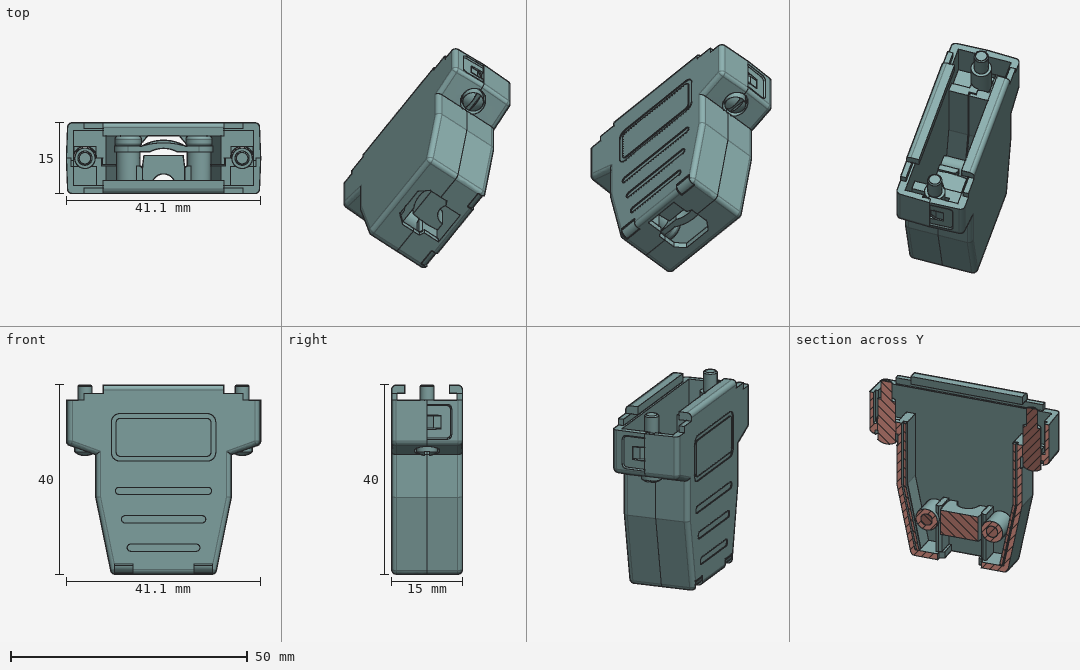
import cadquery as cq

DEPTH = 15.0
HALF_DEPTH = DEPTH / 2
HEAD_HALF_WIDTH = 20.55
HEAD_DRAFT = 0.3
NECK_HALF_WIDTH = 14.35
FOOT_HALF_WIDTH = 11.0
RIM_Z = 36.83
HEAD_BOTTOM_Z = 27.45
SHOULDER_Z = 25.28
TAPER_Z = 16.28
EDGE_RADIUS = 1.03

HEAD_WALL = 1.55
NECK_WALL = 2.18
FACE_WALL = 1.7
FLOOR_Z = 30.82
BOTTOM_WALL = 1.5
HEAD_INNER = HEAD_HALF_WIDTH - HEAD_WALL
NECK_INNER = NECK_HALF_WIDTH - NECK_WALL
CAVITY_Y = HALF_DEPTH - FACE_WALL
TAPER_SLOPE = (NECK_HALF_WIDTH - FOOT_HALF_WIDTH) / TAPER_Z
FOOT_INNER = NECK_INNER - TAPER_SLOPE * (TAPER_Z - BOTTOM_WALL)

STEP_HALF_WIDTH = 16.8
STEP_THICKNESS = 1.2
STEP_TOP_Z = 38.22
LIP_HALF_WIDTH = 12.75
LIP_THICKNESS = 2.8
TOP_Z = 40.0

TONGUE_WIDTH = 0.7
TONGUE_HEIGHT = 1.35
TONGUE_CLEARANCE = 0.25
SIDE_NOTCH_WIDTH = 0.58
SIDE_NOTCH_DEPTH = 1.8
SIDE_NOTCH_FLOOR_Z = 29.6
SIDE_LIP_DEPTH = 0.55

JACK_X = 16.6
JACK_PIN_DIAMETER = 3.0
JACK_PIN_RADIUS = JACK_PIN_DIAMETER / 2
JACK_PIN_CHAMFER = 0.3
JACK_COLLAR_RADIUS = 2.18
JACK_COLLAR_TOP_Z = 35.55
JACK_HEAD_EDGE_Z = 25.85
JACK_DOME_HEIGHT = 0.82
JACK_SLOT_WIDTH = 1.0
JACK_SLOT_DEPTH = 0.9
SEAT_CLEARANCE_RADIUS = 2.45
SEAT_MOUTH_RADIUS = 2.67
SEAT_MOUTH_TOP_Z = 27.95
SEAT_RECESS_HALF_WIDTH = 2.35
SEAT_RECESS_FLOOR_Z = 29.6
POCKET_INNER_X = 14.2
POCKET_FLOOR_Z = 29.2

LABEL_WIDTH = 22.07
LABEL_HEIGHT = 10.05
LABEL_Z = 28.95
LABEL_GROOVE_WIDTH = 1.03
LABEL_CORNER_RADIUS = 1.85
FACE_GROOVE_DEPTH = 0.25
GRIP_COUNT = 3
GRIP_TOP_Z = 17.65
GRIP_PITCH = 6.0
GRIP_LENGTH = 20.3
GRIP_SHORTENING = 2.45
GRIP_HEIGHT = 1.52

NOTCH_INNER_X = 6.45
NOTCH_OUTER_X = 10.3
NOTCH_TOP_Z = 2.2
NOTCH_TOP_DEPTH = 0.33
NOTCH_CREST_Z = 1.9
NOTCH_CREST_DEPTH = 0.05
NOTCH_ROLL_RADIUS = 1.55

PAD_DEPTH_Y = 5.2
PAD_Z = 32.22
PAD_HEIGHT = 7.4
PAD_RECESS = 0.33
PAD_BEVEL = 0.3
PAD_CORNER_RADIUS = 1.03
WINDOW_DEPTH_Y = 2.95
WINDOW_RAMP_Y = 1.3
WINDOW_Z = 32.15
WINDOW_HEIGHT = 3.05
WINDOW_SHALLOW = 0.6
WINDOW_DEEP = 1.25
WINDOW_BEVEL = 0.25

CLAMP_Z = 9.05
CLAMP_SCREW_X = 7.5
POST_RADIUS = 2.5
POST_TOP_Y = 1.3
BAR_THICKNESS = 1.25
BAR_END_RADIUS = 2.9
BAR_INNER_ARCH_HALF = 2.9
BAR_INNER_ARCH_Y = 2.05
BAR_OUTER_ARCH_HALF = 4.65
BAR_OUTER_ARCH_Y = 3.25
BAR_RIDGE_Y = 3.82
BAR_RIDGE_WIDTH = 1.03
BAR_TOP_Y = POST_TOP_Y + BAR_THICKNESS
SCREW_HEAD_RADIUS = 2.8
SCREW_HEAD_HEIGHT = 2.15
SCREW_HEAD_TOP_FILLET = 0.7
SCREW_HEAD_BOTTOM_FILLET = 0.5
SCREW_SHANK_RADIUS = 1.25
SCREW_SHANK_LENGTH = 6.15
INSERT_TOP_HALF = 4.15
INSERT_FOOT_HALF = 4.27
INSERT_BULGE_HALF = 4.5
INSERT_BULGE_Y = -2.55
INSERT_TOP_Y = 0.6
INSERT_ARCH_RADIUS = 2.45
INSERT_DEPTH = 5.85
RIB_THICKNESS = 1.27
RIB_TOP_Y = -1.6
RIB_TOP_Z = 12.35
RIB_CHAMFER_X = 0.6
RIB_CHAMFER_Y = 0.5

EXIT_HALF_WIDTH = 4.97
EXIT_REAR_Y = 4.75
EXIT_REAR_HALF = 3.3
EXIT_REAR_SHOULDER_Y = 2.75
EXIT_FRONT_HALF = 3.9

SIDES = (-1, 1)


def box(x_range, y_range, z_range):
    """Box between two coordinates on each axis, given in either order."""
    x0, x1 = sorted(x_range)
    y0, y1 = sorted(y_range)
    z0, z1 = sorted(z_range)
    return cq.Workplane("XY").box(x1 - x0, y1 - y0, z1 - z0, centered=False).translate((x0, y0, z0))


def extrude_y(profile, y_from, y_to):
    """Extrude a profile drawn in (X, Z) between two Y positions."""
    return profile.extrude(y_from - y_to).translate((0, y_from, 0))


def both_sides(solid):
    """Join a solid on the +X side with its mirror image."""
    return solid.union(solid.mirror("YZ"))


def upright_cylinder(radius, x, z_from, z_to):
    return cq.Workplane("XY").center(x, 0).circle(radius).extrude(z_to - z_from).translate((0, 0, z_from))


def hood_outline(head_half_width):
    right = [
        (FOOT_HALF_WIDTH, 0),
        (NECK_HALF_WIDTH, TAPER_Z),
        (NECK_HALF_WIDTH, SHOULDER_Z),
        (head_half_width, HEAD_BOTTOM_Z),
        (head_half_width, RIM_Z),
    ]
    return right + [(-x, z) for x, z in reversed(right)]


def shell_blank(side):
    """Solid half hood with rounded corners and outer edges; side is the sign of its outer Y."""
    blank = (
        cq.Workplane("XZ")
        .polyline(hood_outline(HEAD_HALF_WIDTH))
        .close()
        .workplane(offset=HALF_DEPTH)
        .polyline(hood_outline(HEAD_HALF_WIDTH - HEAD_DRAFT))
        .close()
        .loft(ruled=True)
    )
    for x, z in ((HEAD_HALF_WIDTH, HEAD_BOTTOM_Z), (FOOT_HALF_WIDTH, 0)):
        corners = cq.selectors.BoxSelector((x - 0.4, -HALF_DEPTH, z - 0.4), (x + 0.4, 0, z + 0.4))
        blank = blank.edges(corners).fillet(EDGE_RADIUS)
        blank = blank.mirror("YZ").edges(corners).fillet(EDGE_RADIUS)
    top_edge = cq.selectors.BoxSelector(
        (-HEAD_HALF_WIDTH, -HALF_DEPTH - 0.4, RIM_Z - 0.4),
        (HEAD_HALF_WIDTH, -HALF_DEPTH + 0.4, RIM_Z + 0.4),
    )
    face_edges = cq.selectors.StringSyntaxSelector("<Y")
    blank = blank.edges(face_edges - top_edge).fillet(EDGE_RADIUS)
    return blank if side < 0 else blank.mirror("XZ")


def shell_cavity(side):
    head = box((-HEAD_INNER, HEAD_INNER), (0, side * CAVITY_Y), (FLOOR_Z, TOP_Z))
    right = [(FOOT_INNER, BOTTOM_WALL), (NECK_INNER, TAPER_Z), (NECK_INNER, FLOOR_Z)]
    outline = right + [(-x, z) for x, z in reversed(right)]
    neck = extrude_y(cq.Workplane("XZ").polyline(outline).close(), 0, side * CAVITY_Y)
    return head.union(neck)


def rim_lips(side):
    outer = side * HALF_DEPTH
    step_inner = side * (HALF_DEPTH - STEP_THICKNESS)
    lip_inner = side * (HALF_DEPTH - LIP_THICKNESS)
    step = box((-STEP_HALF_WIDTH, STEP_HALF_WIDTH), (outer, step_inner), (RIM_Z, STEP_TOP_Z))
    lip = box((-LIP_HALF_WIDTH, LIP_HALF_WIDTH), (outer, lip_inner), (STEP_TOP_Z, TOP_Z))
    lip = lip.faces(">Y" if side > 0 else "<Y").edges(">Z").fillet(EDGE_RADIUS)
    return step.union(lip)


def neck_strip(width, height):
    """Strip along each inner neck wall, reaching from the parting plane into the front shell."""
    inner = [(NECK_INNER, FLOOR_Z), (NECK_INNER, TAPER_Z), (FOOT_INNER, BOTTOM_WALL)]
    outline = inner + [(x + width, z) for x, z in reversed(inner)]
    return both_sides(extrude_y(cq.Workplane("XZ").polyline(outline).close(), 0, -height))


def head_side_strip(depth):
    """Strip along each inner head wall, reaching from the parting plane into the front shell."""
    strip = box((HEAD_INNER, HEAD_INNER + SIDE_NOTCH_WIDTH), (0, -depth), (SIDE_NOTCH_FLOOR_Z, RIM_Z))
    return both_sides(strip)


def jack_holes(upper_radius):
    """Hole through each shoulder with a wider mouth for the screw head."""
    hole = upright_cylinder(upper_radius, JACK_X, SHOULDER_Z, FLOOR_Z)
    mouth = upright_cylinder(SEAT_MOUTH_RADIUS, JACK_X, SHOULDER_Z, SEAT_MOUTH_TOP_Z)
    return both_sides(hole.union(mouth))


def cable_exit():
    right = [
        (EXIT_REAR_HALF, EXIT_REAR_Y),
        (EXIT_HALF_WIDTH, EXIT_REAR_SHOULDER_Y),
        (EXIT_HALF_WIDTH, RIB_TOP_Y),
        (EXIT_FRONT_HALF, RIB_TOP_Y - RIB_CHAMFER_Y),
        (EXIT_FRONT_HALF, -CAVITY_Y),
    ]
    outline = right + [(-x, y) for x, y in reversed(right)]
    return cq.Workplane("XY").polyline(outline).close().extrude(BOTTOM_WALL)


def basic_shell(side):
    return shell_blank(side).cut(shell_cavity(side)).union(rim_lips(side)).cut(cable_exit())


def label_groove():
    outer = cq.Workplane("XZ").rect(LABEL_WIDTH, LABEL_HEIGHT).extrude(FACE_GROOVE_DEPTH)
    outer = outer.edges("|Y").fillet(LABEL_CORNER_RADIUS)
    pad_size = (LABEL_WIDTH - 2 * LABEL_GROOVE_WIDTH, LABEL_HEIGHT - 2 * LABEL_GROOVE_WIDTH)
    pad = cq.Workplane("XZ").rect(*pad_size).extrude(FACE_GROOVE_DEPTH)
    pad = pad.edges("|Y").fillet(LABEL_CORNER_RADIUS - LABEL_GROOVE_WIDTH)
    return outer.cut(pad).translate((0, FACE_GROOVE_DEPTH - HALF_DEPTH, LABEL_Z))


def grip_groove(index):
    length = GRIP_LENGTH - index * GRIP_SHORTENING
    groove = cq.Workplane("XZ").slot2D(length, GRIP_HEIGHT).extrude(FACE_GROOVE_DEPTH)
    return groove.translate((0, FACE_GROOVE_DEPTH - HALF_DEPTH, GRIP_TOP_Z - index * GRIP_PITCH))


def hinge_notches():
    """Notch at each foot corner whose back rolls inward towards the bottom."""
    crest_y = NOTCH_CREST_DEPTH - HALF_DEPTH
    roll_y = crest_y + NOTCH_ROLL_RADIUS
    roll_z = NOTCH_CREST_Z - NOTCH_ROLL_RADIUS
    mid = NOTCH_ROLL_RADIUS * 0.5 ** 0.5
    profile = (
        cq.Workplane("YZ")
        .moveTo(-HALF_DEPTH, NOTCH_TOP_Z)
        .lineTo(NOTCH_TOP_DEPTH - HALF_DEPTH, NOTCH_TOP_Z)
        .lineTo(crest_y, NOTCH_CREST_Z)
        .threePointArc((roll_y - mid, NOTCH_CREST_Z - mid), (roll_y, roll_z))
        .lineTo(roll_y, 0)
        .lineTo(-HALF_DEPTH, 0)
        .close()
    )
    return both_sides(profile.extrude(NOTCH_OUTER_X - NOTCH_INNER_X).translate((NOTCH_INNER_X, 0, 0)))


def clamp_posts():
    post = cq.Workplane("XZ").center(CLAMP_SCREW_X, CLAMP_Z).circle(POST_RADIUS)
    return both_sides(extrude_y(post, -CAVITY_Y, POST_TOP_Y))


def clamp_screw_bores():
    bore = cq.Workplane("XZ").center(CLAMP_SCREW_X, CLAMP_Z).circle(SCREW_SHANK_RADIUS)
    return both_sides(extrude_y(bore, BAR_TOP_Y - SCREW_SHANK_LENGTH, BAR_TOP_Y))


def insert_ribs():
    """Chamfered rib beside each flank of the cable insert, later hollowed to fit the bulge."""
    inner = INSERT_BULGE_HALF
    outer = inner + RIB_THICKNESS
    outline = [
        (inner, -CAVITY_Y),
        (outer, -CAVITY_Y),
        (outer, RIB_TOP_Y),
        (inner + RIB_CHAMFER_X, RIB_TOP_Y),
        (inner, RIB_TOP_Y - RIB_CHAMFER_Y),
    ]
    rib = cq.Workplane("XY").polyline(outline).close().extrude(RIB_TOP_Z - BOTTOM_WALL)
    return both_sides(rib.translate((0, 0, BOTTOM_WALL)))


def corner_pockets():
    return both_sides(
        box((POCKET_INNER_X, HEAD_INNER), (-SIDE_NOTCH_DEPTH, -CAVITY_Y), (POCKET_FLOOR_Z, FLOOR_Z))
    )


def make_front_shell():
    shell = basic_shell(-1).union(clamp_posts()).union(insert_ribs()).cut(make_cable_insert())
    shell = shell.cut(clamp_screw_bores()).cut(corner_pockets()).cut(jack_holes(JACK_COLLAR_RADIUS))
    shell = shell.cut(neck_strip(TONGUE_WIDTH + TONGUE_CLEARANCE, TONGUE_HEIGHT + TONGUE_CLEARANCE))
    shell = shell.cut(head_side_strip(SIDE_NOTCH_DEPTH))
    shell = shell.cut(label_groove()).cut(hinge_notches())
    for index in range(GRIP_COUNT):
        shell = shell.cut(grip_groove(index))
    return shell


def finger_pads():
    """Shallow recess in each side of the head, open at the parting plane and following the draft."""
    floor_x = HEAD_HALF_WIDTH - PAD_RECESS
    floor_slope = HEAD_DRAFT / HALF_DEPTH
    outline = [
        (floor_x, 0),
        (HEAD_HALF_WIDTH, 0),
        (HEAD_HALF_WIDTH, PAD_DEPTH_Y),
        (floor_x - floor_slope * PAD_DEPTH_Y, PAD_DEPTH_Y),
    ]
    pad = cq.Workplane("XY").polyline(outline).close().extrude(PAD_HEIGHT)
    pad = pad.edges("|X and >Y").fillet(PAD_CORNER_RADIUS)
    pad = pad.faces("<X").edges("not <Y").chamfer(PAD_BEVEL)
    return both_sides(pad.translate((0, 0, PAD_Z - PAD_HEIGHT / 2)))


def pry_windows():
    """Rectangular pocket in each finger pad, with a floor that ramps deeper at the parting plane."""
    outline = [
        (HEAD_HALF_WIDTH, 0),
        (HEAD_HALF_WIDTH, WINDOW_DEPTH_Y),
        (HEAD_HALF_WIDTH - WINDOW_SHALLOW, WINDOW_DEPTH_Y),
        (HEAD_HALF_WIDTH - WINDOW_SHALLOW, WINDOW_RAMP_Y),
        (HEAD_HALF_WIDTH - WINDOW_DEEP, 0),
    ]
    window = cq.Workplane("XY").polyline(outline).close().extrude(WINDOW_HEIGHT)
    ramp_floor = window.faces("<X").edges("<Z or >Z")
    flat_floor = window.faces("<X[1]").edges("<Z or >Z")
    window = window.newObject(ramp_floor.vals() + flat_floor.vals()).chamfer(WINDOW_BEVEL)
    return both_sides(window.translate((0, 0, WINDOW_Z - WINDOW_HEIGHT / 2)))


def seat_recesses():
    recess = box(
        (JACK_X - SEAT_RECESS_HALF_WIDTH, JACK_X + SEAT_RECESS_HALF_WIDTH),
        (0, SEAT_CLEARANCE_RADIUS),
        (SEAT_RECESS_FLOOR_Z, FLOOR_Z),
    )
    return both_sides(recess)


def make_rear_shell():
    shell = basic_shell(1).cut(jack_holes(SEAT_CLEARANCE_RADIUS)).cut(seat_recesses())
    shell = shell.cut(finger_pads()).cut(pry_windows())
    return shell.union(neck_strip(TONGUE_WIDTH, TONGUE_HEIGHT)).union(head_side_strip(SIDE_LIP_DEPTH))


def make_jackscrew(x):
    """Revolved screw with a domed, slotted head at its lower end."""
    head_bottom_z = JACK_HEAD_EDGE_Z - JACK_DOME_HEIGHT
    dome_radius = (JACK_COLLAR_RADIUS**2 + JACK_DOME_HEIGHT**2) / (2 * JACK_DOME_HEIGHT)
    half_radius = JACK_COLLAR_RADIUS / 2
    dome_mid_z = head_bottom_z + dome_radius - (dome_radius**2 - half_radius**2) ** 0.5
    screw = (
        cq.Workplane("XZ")
        .moveTo(0, head_bottom_z)
        .threePointArc((half_radius, dome_mid_z), (JACK_COLLAR_RADIUS, JACK_HEAD_EDGE_Z))
        .lineTo(JACK_COLLAR_RADIUS, JACK_COLLAR_TOP_Z)
        .lineTo(JACK_PIN_RADIUS, JACK_COLLAR_TOP_Z)
        .lineTo(JACK_PIN_RADIUS, TOP_Z - JACK_PIN_CHAMFER)
        .lineTo(JACK_PIN_RADIUS - JACK_PIN_CHAMFER, TOP_Z)
        .lineTo(0, TOP_Z)
        .close()
        .revolve(360, (0, 0, 0), (0, 1, 0))
    )
    slot = box(
        (-JACK_COLLAR_RADIUS, JACK_COLLAR_RADIUS),
        (-JACK_SLOT_WIDTH / 2, JACK_SLOT_WIDTH / 2),
        (head_bottom_z, head_bottom_z + JACK_SLOT_DEPTH),
    )
    return screw.cut(slot).translate((x, 0, 0))


def make_clamp_screw(x):
    head = cq.Workplane("XZ").center(x, CLAMP_Z).circle(SCREW_HEAD_RADIUS)
    head = extrude_y(head, BAR_TOP_Y, BAR_TOP_Y + SCREW_HEAD_HEIGHT)
    head = head.faces(">Y").edges().fillet(SCREW_HEAD_TOP_FILLET)
    head = head.faces("<Y").edges().fillet(SCREW_HEAD_BOTTOM_FILLET)
    shank = cq.Workplane("XZ").center(x, CLAMP_Z).circle(SCREW_SHANK_RADIUS)
    return head.union(extrude_y(shank, BAR_TOP_Y - SCREW_SHANK_LENGTH, BAR_TOP_Y))


def make_clamp_bar():
    """Round-ended strap with an arch in its middle and a taller ridge along the arch's lower edge."""
    half_length = CLAMP_SCREW_X + BAR_END_RADIUS
    arched = (
        cq.Workplane("XY")
        .moveTo(-half_length, POST_TOP_Y)
        .lineTo(-BAR_INNER_ARCH_HALF, POST_TOP_Y)
        .threePointArc((0, BAR_INNER_ARCH_Y), (BAR_INNER_ARCH_HALF, POST_TOP_Y))
        .lineTo(half_length, POST_TOP_Y)
        .lineTo(half_length, BAR_TOP_Y)
        .lineTo(BAR_OUTER_ARCH_HALF, BAR_TOP_Y)
        .threePointArc((0, BAR_OUTER_ARCH_Y), (-BAR_OUTER_ARCH_HALF, BAR_TOP_Y))
        .lineTo(-half_length, BAR_TOP_Y)
        .close()
        .extrude(2 * BAR_END_RADIUS)
        .translate((0, 0, CLAMP_Z - BAR_END_RADIUS))
    )
    plan = cq.Workplane("XZ").center(0, CLAMP_Z).slot2D(2 * half_length, 2 * BAR_END_RADIUS)
    bar = arched.intersect(extrude_y(plan, POST_TOP_Y, BAR_OUTER_ARCH_Y))
    ridge = (
        cq.Workplane("XY")
        .moveTo(-BAR_OUTER_ARCH_HALF, BAR_TOP_Y)
        .threePointArc((0, BAR_OUTER_ARCH_Y), (BAR_OUTER_ARCH_HALF, BAR_TOP_Y))
        .threePointArc((0, BAR_RIDGE_Y), (-BAR_OUTER_ARCH_HALF, BAR_TOP_Y))
        .close()
        .extrude(BAR_RIDGE_WIDTH)
        .translate((0, 0, CLAMP_Z - BAR_END_RADIUS))
    )
    return bar.union(ridge).cut(clamp_screw_bores())


def make_cable_insert():
    """Block with bulging flanks and a round cable groove in its base."""
    block = (
        cq.Workplane("XY")
        .moveTo(-INSERT_FOOT_HALF, -CAVITY_Y)
        .threePointArc((-INSERT_BULGE_HALF, INSERT_BULGE_Y), (-INSERT_TOP_HALF, INSERT_TOP_Y))
        .lineTo(INSERT_TOP_HALF, INSERT_TOP_Y)
        .threePointArc((INSERT_BULGE_HALF, INSERT_BULGE_Y), (INSERT_FOOT_HALF, -CAVITY_Y))
        .lineTo(INSERT_ARCH_RADIUS, -CAVITY_Y)
        .threePointArc((0, INSERT_ARCH_RADIUS - CAVITY_Y), (-INSERT_ARCH_RADIUS, -CAVITY_Y))
        .close()
        .extrude(INSERT_DEPTH)
    )
    return block.translate((0, 0, CLAMP_Z - INSERT_DEPTH / 2))


front_shell = make_front_shell()
rear_shell = make_rear_shell()
jackscrews = [make_jackscrew(side * JACK_X) for side in SIDES]
clamp_screws = [make_clamp_screw(side * CLAMP_SCREW_X) for side in SIDES]
clamp_bar = make_clamp_bar()
cable_insert = make_cable_insert()

result = cq.Compound.makeCompound(
    [
        front_shell.val(),
        rear_shell.val(),
        *[screw.val() for screw in jackscrews],
        *[screw.val() for screw in clamp_screws],
        clamp_bar.val(),
        cable_insert.val(),
    ]
)